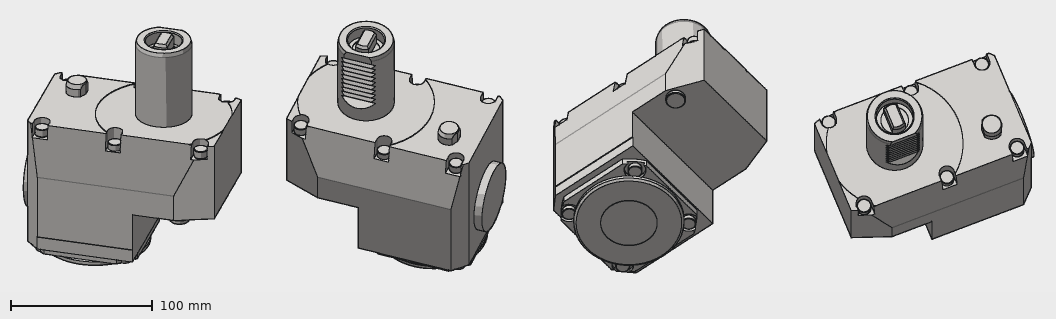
import cadquery as cq
import math


BODY_LEFT = -90.0
BODY_RIGHT = 47.0
BODY_HALF_WIDTH = 45.0
END_HALF_WIDTH = 35.0
LEFT_CHAMFER_END = -80.0
RIGHT_CHAMFER_START = 20.0
BODY_BOTTOM = -97.8
TAPER_START_Z = -39.6
TOP_HALF_WIDTH = 38.1
STEP_X = -10.3
STEP_Z = -59.3
RELIEF_TOP = -87.9
RELIEF_DEPTH = 0.5

SEAT_DIAMETER = 96.6
SEAT_HEIGHT = 0.5

CAP_DIAMETER = 50.0
CAP_LENGTH = 6.0
CAP_Z = -61.4

SHANK_DIAMETER = 40.0
SHANK_LENGTH = 59.4
SHANK_CHAMFER_HEIGHT = 3.0
SHANK_CHAMFER_WIDTH = 0.8
BORE_DIAMETER = 26.0
BORE_DEPTH = 9.2
BORE_CHAMFER = 0.8

FLAT_Y = 17.2
TOOTH_PITCH = 4.0
TOOTH_COUNT = 10
TOOTH_DEPTH = 1.75
FIRST_TOOTH_ROOT_Z = 51.5

SHAFT_DIAMETER = 19.5
TANG_TOP = 60.7
TANG_WIDTH = 10.0
TANG_HEIGHT = 10.0
TANG_CHAMFER_HEIGHT = 2.2
TANG_CHAMFER_WIDTH = 1.25

PIN_X = -67.8
PIN_Y = 14.9
PIN_DIAMETER = 16.0
PIN_TOP_DIAMETER = 13.3
PIN_TOP = 8.9
PIN_TAPER_HEIGHT = 3.4
PIN_ACROSS_FLATS = 14.0
PIN_FLAT_ANGLE = -27.0

HEAD_DIAMETER = 10.0
HEAD_BEVEL = 0.4
HEAD_BASE_HEIGHT = 0.8
HEAD_BASE_INSET = 0.5

END_SCREW_XS = (-79.7, 36.7)
END_SCREW_Y = 33.5
END_POCKET_DIAMETER = 11.2
END_POCKET_FLOOR = -11.0
END_HEAD_TOP = -4.7
MIDDLE_SCREW_X = -26.0
MIDDLE_SCREW_Y = 34.2
MIDDLE_POCKET_DIAMETER = 10.8
MIDDLE_POCKET_FLOOR = -13.3
MIDDLE_HEAD_SEAT = MIDDLE_POCKET_FLOOR - HEAD_BASE_HEIGHT
MIDDLE_HEAD_TOP = -8.4

PLUG_DIAMETER = 14.0
PLUG_X = 21.8
PLUG_Y = -36.0
PLUG_HEIGHT = 4.1
PLUG_UPPER_CHAMFER_HEIGHT = 1.2
PLUG_CHAMFER = 0.6

SPINDLE_X = -50.0
PLATE_LENGTH = 77.6
PLATE_WIDTH = 80.0
PLATE_CORNER_DIAMETER = 96.0
PLATE_BOTTOM = -103.7
NECK_DIAMETER = 70.0
FLANGE_DIAMETER = 78.0
FLANGE_TOP = -105.8
FLANGE_BOTTOM = -109.6
FLANGE_CHAMFER_HEIGHT = 1.3
FLANGE_CHAMFER_WIDTH = 1.7
NOSE_DIAMETER = 40.0
NOSE_BOTTOM = -110.0

PLATE_SCREW_SPACING = 60.0
PLATE_SCREW_HEAD_BOTTOM = -105.4
PLATE_RECESS_DIAMETER = 15.4
PLATE_RECESS_CEILING = -100.7

OVERLAP = 1.0


def cylinder(x, y, diameter, bottom, top):
    """Vertical cylinder between two heights."""
    return cq.Workplane("XY", origin=(x, y, bottom)).circle(diameter / 2).extrude(top - bottom)


def block(x_min, x_max, y_min, y_max, z_min, z_max):
    """Axis-aligned box from its limits."""
    size = (x_max - x_min, y_max - y_min, z_max - z_min)
    return cq.Workplane("XY").box(*size, centered=False).translate((x_min, y_min, z_min))


def turned(x, y, profile):
    """Solid of revolution about a vertical axis from (radius, z) points."""
    outline = cq.Workplane("XZ").polyline(profile).close()
    return outline.revolve(360, (0, 0), (0, 1)).translate((x, y, 0))


def make_housing():
    length = BODY_RIGHT - BODY_LEFT
    plan = (
        cq.Workplane("XY", origin=(0, 0, BODY_BOTTOM))
        .moveTo(BODY_LEFT, -END_HALF_WIDTH)
        .lineTo(LEFT_CHAMFER_END, -BODY_HALF_WIDTH)
        .lineTo(RIGHT_CHAMFER_START, -BODY_HALF_WIDTH)
        .lineTo(BODY_RIGHT, -END_HALF_WIDTH)
        .lineTo(BODY_RIGHT, END_HALF_WIDTH)
        .lineTo(RIGHT_CHAMFER_START, BODY_HALF_WIDTH)
        .lineTo(LEFT_CHAMFER_END, BODY_HALF_WIDTH)
        .lineTo(BODY_LEFT, END_HALF_WIDTH)
        .close()
        .extrude(-BODY_BOTTOM)
    )
    section = (
        cq.Workplane("YZ", origin=(BODY_LEFT, 0, 0))
        .moveTo(-BODY_HALF_WIDTH, BODY_BOTTOM)
        .lineTo(BODY_HALF_WIDTH, BODY_BOTTOM)
        .lineTo(BODY_HALF_WIDTH, TAPER_START_Z)
        .lineTo(TOP_HALF_WIDTH, 0)
        .lineTo(-TOP_HALF_WIDTH, 0)
        .lineTo(-BODY_HALF_WIDTH, TAPER_START_Z)
        .close()
        .extrude(length)
    )
    housing = plan.intersect(section)
    under_overhang = block(
        STEP_X, BODY_RIGHT, -BODY_HALF_WIDTH, BODY_HALF_WIDTH, BODY_BOTTOM, STEP_Z
    )
    side_relief = block(
        BODY_LEFT, BODY_RIGHT,
        -BODY_HALF_WIDTH, RELIEF_DEPTH - BODY_HALF_WIDTH,
        BODY_BOTTOM, RELIEF_TOP,
    )
    around_seat = block(
        BODY_LEFT, BODY_RIGHT, -BODY_HALF_WIDTH, BODY_HALF_WIDTH, -SEAT_HEIGHT, 0
    ).cut(cylinder(0, 0, SEAT_DIAMETER, -SEAT_HEIGHT, 0))
    return housing.cut(under_overhang).cut(side_relief).cut(around_seat)


def make_cap():
    start = (BODY_LEFT - CAP_LENGTH, 0, CAP_Z)
    return cq.Workplane("YZ", origin=start).circle(CAP_DIAMETER / 2).extrude(CAP_LENGTH + OVERLAP)


def make_shank():
    radius = SHANK_DIAMETER / 2
    bore_radius = BORE_DIAMETER / 2
    floor_z = SHANK_LENGTH - BORE_DEPTH
    shank = turned(0, 0, [
        (0, -OVERLAP),
        (radius, -OVERLAP),
        (radius, SHANK_LENGTH - SHANK_CHAMFER_HEIGHT),
        (radius - SHANK_CHAMFER_WIDTH, SHANK_LENGTH),
        (bore_radius + BORE_CHAMFER, SHANK_LENGTH),
        (bore_radius, SHANK_LENGTH - BORE_CHAMFER),
        (bore_radius, floor_z),
        (0, floor_z),
    ])
    return shank.cut(make_toothed_flat())


def make_toothed_flat():
    """Material removed for the flat, its V teeth and the 45 degree run-out below them."""
    root_y = FLAT_Y - TOOTH_DEPTH
    outside_y = SHANK_DIAMETER / 2 + OVERLAP
    last_root_z = FIRST_TOOTH_ROOT_Z - (TOOTH_COUNT - 1) * TOOTH_PITCH
    points = [(outside_y, SHANK_LENGTH + OVERLAP), (FLAT_Y, SHANK_LENGTH + OVERLAP)]
    for i in range(TOOTH_COUNT):
        root_z = FIRST_TOOTH_ROOT_Z - i * TOOTH_PITCH
        if i == 0:
            points.append((FLAT_Y, root_z + TOOTH_DEPTH))
        else:
            points.append((FLAT_Y, root_z + TOOTH_PITCH / 2))
        points.append((root_y, root_z))
    points.append((outside_y, last_root_z - (outside_y - root_y)))
    return cq.Workplane("YZ").polyline(points).close().extrude(SHANK_DIAMETER / 2, both=True)


def make_drive_shaft():
    """Round shaft whose end is cut down to a flat-sided tang, bevelled all round."""
    shoulder_z = TANG_TOP - TANG_HEIGHT
    bevel_z = TANG_TOP - TANG_CHAMFER_HEIGHT
    radius = SHAFT_DIAMETER / 2
    half_width = TANG_WIDTH / 2
    shaft = cylinder(0, 0, SHAFT_DIAMETER, SHANK_LENGTH - BORE_DEPTH - OVERLAP, shoulder_z)
    round_ends = turned(0, 0, [
        (0, shoulder_z),
        (radius, shoulder_z),
        (radius, bevel_z),
        (radius - TANG_CHAMFER_WIDTH, TANG_TOP),
        (0, TANG_TOP),
    ])
    flat_sides = (
        cq.Workplane("XZ")
        .moveTo(-half_width, shoulder_z)
        .lineTo(half_width, shoulder_z)
        .lineTo(half_width, bevel_z)
        .lineTo(half_width - TANG_CHAMFER_WIDTH, TANG_TOP)
        .lineTo(TANG_CHAMFER_WIDTH - half_width, TANG_TOP)
        .lineTo(-half_width, bevel_z)
        .close()
        .extrude(radius, both=True)
    )
    return shaft.union(round_ends.intersect(flat_sides))


def make_pin():
    """Round tapered pin with two pairs of parallel flats."""
    radius = PIN_DIAMETER / 2
    base_z = -SEAT_HEIGHT - OVERLAP
    pin = turned(0, 0, [
        (0, base_z),
        (radius, base_z),
        (radius, PIN_TOP - PIN_TAPER_HEIGHT),
        (PIN_TOP_DIAMETER / 2, PIN_TOP),
        (0, PIN_TOP),
    ])
    half_flats = PIN_ACROSS_FLATS / 2
    slab = block(-half_flats, half_flats, -PIN_DIAMETER, PIN_DIAMETER, base_z, PIN_TOP)
    for angle in (0, PIN_FLAT_ANGLE):
        pin = pin.intersect(slab.rotate((0, 0, 0), (0, 0, 1), angle))
    return pin.translate((PIN_X, PIN_Y, 0))


def make_screw_head(x, y, seat_z, end_z):
    """Screw head rising from its seat to its free end, upward or downward."""
    radius = HEAD_DIAMETER / 2
    base_radius = radius - HEAD_BASE_INSET
    direction = math.copysign(1, end_z - seat_z)
    return turned(x, y, [
        (0, seat_z - direction * OVERLAP),
        (base_radius, seat_z - direction * OVERLAP),
        (base_radius, seat_z),
        (radius, seat_z + direction * HEAD_BASE_HEIGHT),
        (radius, end_z - direction * HEAD_BEVEL),
        (radius - HEAD_BEVEL, end_z),
        (0, end_z),
    ])


def add_cover_screws(body, x, offset, pocket_diameter, floor_z, head_seat, head_top):
    """Mirrored pair of pockets open to the side walls, each holding a screw head."""
    half_pocket = pocket_diameter / 2
    slot = block(
        x - half_pocket, x + half_pocket, -BODY_HALF_WIDTH, -offset, floor_z, 0
    )
    pocket = cylinder(x, -offset, pocket_diameter, floor_z, 0).union(slot)
    head = make_screw_head(x, -offset, head_seat, head_top)
    body = body.cut(pocket).cut(pocket.mirror("XZ"))
    return body.union(head).union(head.mirror("XZ"))


def make_drain_plug():
    radius = PLUG_DIAMETER / 2
    bottom = STEP_Z - PLUG_HEIGHT
    return turned(PLUG_X, PLUG_Y, [
        (0, STEP_Z + OVERLAP),
        (radius - PLUG_CHAMFER, STEP_Z + OVERLAP),
        (radius - PLUG_CHAMFER, STEP_Z),
        (radius, STEP_Z - PLUG_UPPER_CHAMFER_HEIGHT),
        (radius, bottom + PLUG_CHAMFER),
        (radius - PLUG_CHAMFER, bottom),
        (0, bottom),
    ])


def make_spindle_plate():
    top = BODY_BOTTOM + OVERLAP
    rounded = cylinder(SPINDLE_X, 0, PLATE_CORNER_DIAMETER, PLATE_BOTTOM, top)
    plate = rounded.intersect(block(
        SPINDLE_X - PLATE_LENGTH / 2, SPINDLE_X + PLATE_LENGTH / 2,
        -PLATE_WIDTH / 2, PLATE_WIDTH / 2,
        PLATE_BOTTOM, top,
    ))
    offset = PLATE_SCREW_SPACING / 2
    for x in (SPINDLE_X - offset, SPINDLE_X + offset):
        for y in (-offset, offset):
            recess = cylinder(x, y, PLATE_RECESS_DIAMETER, PLATE_BOTTOM, PLATE_RECESS_CEILING)
            head = make_screw_head(x, y, PLATE_RECESS_CEILING, PLATE_SCREW_HEAD_BOTTOM)
            plate = plate.cut(recess).union(head)
    return plate


def make_spindle_nose():
    neck_radius = NECK_DIAMETER / 2
    flange_radius = FLANGE_DIAMETER / 2
    nose_radius = NOSE_DIAMETER / 2
    return turned(SPINDLE_X, 0, [
        (0, BODY_BOTTOM + OVERLAP),
        (neck_radius, BODY_BOTTOM + OVERLAP),
        (neck_radius, FLANGE_TOP),
        (flange_radius, FLANGE_TOP),
        (flange_radius, FLANGE_BOTTOM + FLANGE_CHAMFER_HEIGHT),
        (flange_radius - FLANGE_CHAMFER_WIDTH, FLANGE_BOTTOM),
        (nose_radius, FLANGE_BOTTOM),
        (nose_radius, NOSE_BOTTOM),
        (0, NOSE_BOTTOM),
    ])


result = make_housing()
for end_x in END_SCREW_XS:
    result = add_cover_screws(
        result, end_x, END_SCREW_Y,
        pocket_diameter=END_POCKET_DIAMETER,
        floor_z=END_POCKET_FLOOR,
        head_seat=END_POCKET_FLOOR,
        head_top=END_HEAD_TOP,
    )
result = add_cover_screws(
    result, MIDDLE_SCREW_X, MIDDLE_SCREW_Y,
    pocket_diameter=MIDDLE_POCKET_DIAMETER,
    floor_z=MIDDLE_POCKET_FLOOR,
    head_seat=MIDDLE_HEAD_SEAT,
    head_top=MIDDLE_HEAD_TOP,
)
for feature in (
    make_cap(),
    make_shank(),
    make_drive_shaft(),
    make_pin(),
    make_drain_plug(),
    make_spindle_plate(),
    make_spindle_nose(),
):
    result = result.union(feature)